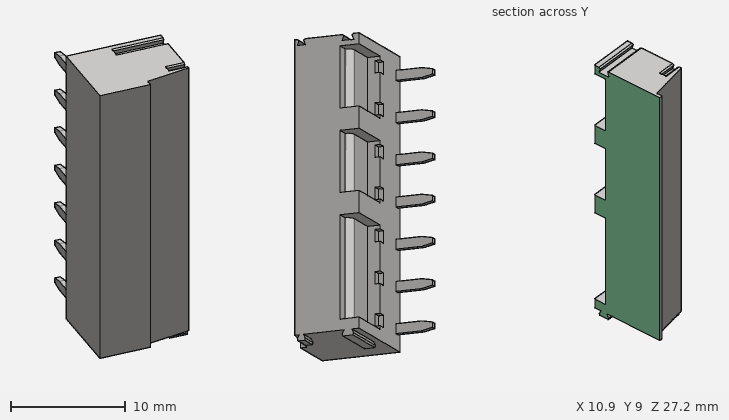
import cadquery as cq
import math

total_length = 27.22
total_width = 10.9
body_depth = 9.0

body_width = 7.4
rail_height = 0.55
body_length = total_length - rail_height
ledge_from_back = 4.2
ledge_width = 0.6
slope_top_x = 6.12

pin_count = 7
pitch = body_length / pin_count
pin_length = total_width - body_width
pin_width = 0.9
pin_thickness = 0.52
pin_front_gap = 0.44
pin_tip_length = 1.0
pin_tip_width = 0.5

pocket_reach = 4.63
pocket_back_depth = 1.82
pocket_front_depth = 1.2
pocket_back_reach = 1.15
end_wall = 1.0
inner_wall = 2 * end_wall
inner_wall_pitches = (3, 5)

notch_length = 1.12
notch_width = 0.75
notch_depth = 0.5

mating_pairs = (
    (1.05, 0.55, 4.8, 4.87),
    (5.5, 0.38, 1.7, 1.77),
)
dovetail_inset = 0.15
rail_flare_height = 0.35
rail_tip_inset = 0.05
groove_depth = 0.55
groove_chamfer = 0.1


def make_body():
    outline = [
        (0, 0),
        (body_width, 0),
        (body_width, body_depth - ledge_from_back),
        (body_width - ledge_width, body_depth - ledge_from_back),
        (slope_top_x, body_depth),
        (0, body_depth),
    ]
    return cq.Workplane("XY").polyline(outline).close().extrude(body_length)


def make_pin(z_center):
    """Flat blade with a tapered tip, pointing to -X."""
    half = pin_width / 2
    tip_half = pin_tip_width / 2
    shoulder_x = pin_tip_length - pin_length
    outline = [
        (0, -half),
        (shoulder_x, -half),
        (-pin_length, -tip_half),
        (-pin_length, tip_half),
        (shoulder_x, half),
        (0, half),
    ]
    blade = cq.Workplane("XZ").polyline(outline).close().extrude(-pin_thickness)
    return blade.translate((0, pin_front_gap, z_center))


def make_pocket(z_low, z_high):
    """Stepped recess whose step has a rounded outer corner."""
    step_y = body_depth - pocket_back_reach
    radius = pocket_back_depth - pocket_front_depth
    arc_middle = (
        pocket_back_depth - radius * math.cos(math.pi / 4),
        step_y - radius * (1 - math.sin(math.pi / 4)),
    )
    profile = (
        cq.Workplane("XY")
        .moveTo(0, body_depth)
        .lineTo(pocket_back_depth, body_depth)
        .lineTo(pocket_back_depth, step_y)
        .threePointArc(arc_middle, (pocket_front_depth, step_y - radius))
        .lineTo(pocket_front_depth, body_depth - pocket_reach)
        .lineTo(0, body_depth - pocket_reach)
        .close()
    )
    return profile.extrude(z_high - z_low).translate((0, 0, z_low))


def make_notch(z_center):
    y_low = body_depth - pocket_reach - notch_width
    corner_origin = (False, False, True)
    notch = cq.Workplane("XY").box(notch_depth, notch_width, notch_length, centered=corner_origin)
    return notch.translate((0, y_low, z_center))


def make_dovetail(center_x, length, levels):
    """Symmetric bar along Y, reaching the back face; levels lists (half width, Z) upward."""
    right_side = [(center_x + half, z) for half, z in levels]
    left_side = [(center_x - half, z) for half, z in reversed(levels)]
    bar = cq.Workplane("XZ").polyline(right_side + left_side).close().extrude(length)
    return bar.translate((0, body_depth, 0))


def make_rail(center_x, half_width, length):
    levels = [
        (half_width - rail_tip_inset, -rail_height),
        (half_width, -rail_flare_height),
        (half_width - dovetail_inset, 0),
    ]
    return make_dovetail(center_x, length, levels)


def make_groove(center_x, half_width, length):
    levels = [
        (half_width, body_length - groove_depth),
        (half_width - dovetail_inset, body_length - groove_chamfer),
        (half_width, body_length),
    ]
    return make_dovetail(center_x, length, levels)


result = make_body()

wall_centers = [n * pitch for n in inner_wall_pitches]
pocket_starts = [end_wall] + [z + inner_wall / 2 for z in wall_centers]
pocket_ends = [z - inner_wall / 2 for z in wall_centers] + [body_length - end_wall]
for z_low, z_high in zip(pocket_starts, pocket_ends):
    result = result.cut(make_pocket(z_low, z_high))

for index in range(pin_count):
    pin_z = (index + 0.5) * pitch
    result = result.cut(make_notch(pin_z)).union(make_pin(pin_z))

for center_x, half_width, rail_length, groove_length in mating_pairs:
    result = result.union(make_rail(center_x, half_width, rail_length))
    result = result.cut(make_groove(center_x, half_width, groove_length))